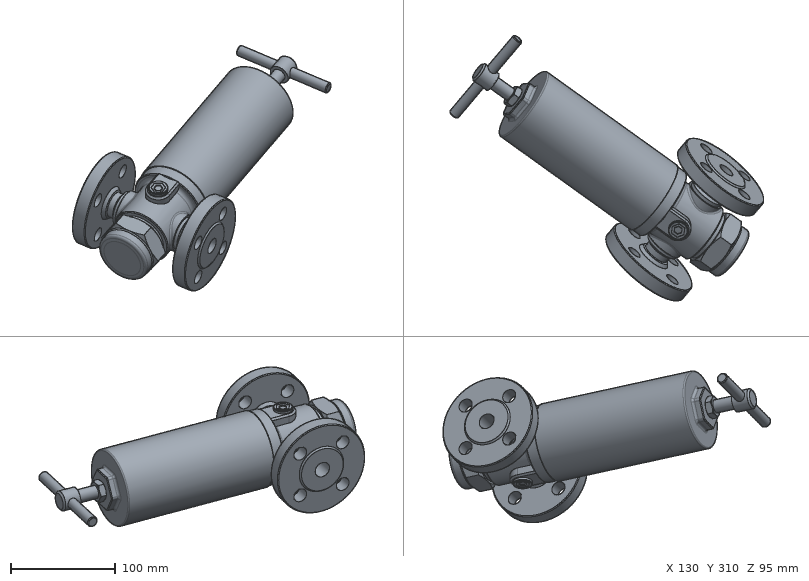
import cadquery as cq
import math


OVERALL_LENGTH = 310.0
SELECT_MARGIN = 0.3
HEX_HALF_ANGLE = math.pi / 6

BORE_RADIUS = 7.8
FLOW_JOINT_X = 32.2
NOZZLE_RADIUS = 19.0

BARREL_RADIUS = 29.8
BARREL_BOTTOM_Y = -24.2
BARREL_CHAMFER = 1.0
BODY_FLANGE_RADIUS = 37.2
BODY_FLANGE_BOTTOM_Y = 26.0
BODY_FLANGE_TOP_Y = 37.8
BODY_FLANGE_CHAMFER = 1.0
BODY_FILLET = 4.3
NOZZLE_FILLET = 2.0
PAD_RADIUS = 12.5
PAD_Y = 8.0
PAD_TOP_Z = 36.3
PAD_CHAMFER = 2.0

GAUGE_PLUG_RADIUS = 9.3
GAUGE_PLUG_HEIGHT = 2.8
GAUGE_PLUG_CHAMFER = 0.5
RECESS_FLATS = 12.0
RECESS_DEPTH = 0.5
SOCKET_FLATS = 7.0
SOCKET_DEPTH = 2.0

HUB_RADIUS = 17.0
HUB_END_X = 35.7
PIPE_RADIUS = 12.7
PIPE_START_X = 38.5
PIPE_END_X = 44.5
FLARE_START_X = 45.3
FLARE_START_RADIUS = 14.5
FLARE_END_RADIUS = 17.0
DISC_BACK_X = 48.7
DISC_FRONT_X = 63.3
DISC_RADIUS = 47.5
DISC_CHAMFER = 1.0
OVERALL_WIDTH = 130.0
FACE_X = OVERALL_WIDTH / 2
FACE_BASE_RADIUS = 24.2
FACE_RADIUS = 22.5
BOLT_CIRCLE_RADIUS = 32.5
BOLT_HOLE_RADIUS = 6.8
BOLT_COUNT = 4

PLUG_END_Y = -59.0
PLUG_NECK_RADIUS = 25.0
PLUG_HEX_TOP_Y = -28.8
PLUG_HEX_BOTTOM_Y = -46.8
PLUG_HEX_FLATS = 55.0
PLUG_CAP_RADIUS = 26.7
PLUG_CAP_ROUNDING = 2.8
PLUG_END_RADIUS = 20.5
PLUG_END_BEVEL = 0.3
PLUG_CAP_TAPER = 1.5
HEX_CONE_ANGLE = 30.0

BONNET_RADIUS = 38.0
BONNET_TOP_Y = 196.3
BONNET_EDGE = 1.2
BOSS_TOP_Y = 205.0
BOSS_FLATS = 36.3
BOSS_CORNER_RADIUS = 3.0
BOSS_EDGE = 1.0
BOSS_FILLET = 2.5

NUT_FLATS = 19.0
NUT_TOP_Y = 211.8

SPINDLE_RADIUS = 6.5
HEAD_RADIUS = 10.0
HEAD_BOTTOM_Y = 233.0
HEAD_TOP_Y = PLUG_END_Y + OVERALL_LENGTH
HEAD_CHAMFER = 2.0
HANDLE_Y = 241.5
HANDLE_RADIUS = 5.3
HANDLE_HALF_LENGTH = 50.2
HANDLE_CHAMFER = 1.0


def cylinder_y(radius, bottom, top):
    """Cylinder on the Y axis."""
    return cq.Workplane("XZ", origin=(0, bottom, 0)).circle(radius).extrude(bottom - top)


def cylinder_x(radius, half_length):
    """Cylinder on the X axis, centred on the origin."""
    return cq.Workplane("YZ").circle(radius).extrude(half_length, both=True)


def hexagon_y(flats, bottom, top):
    """Hexagonal prism on the Y axis with two corners on the X axis."""
    across_corners = flats / math.cos(HEX_HALF_ANGLE)
    return cq.Workplane("XZ", origin=(0, bottom, 0)).polygon(6, across_corners).extrude(bottom - top)


def nut_hexagon_y(flats, bottom, top):
    """Hexagonal prism whose corners are trimmed by a cone at each end."""
    inner = flats / 2
    corner = inner / math.cos(HEX_HALF_ANGLE)
    drop = (corner - inner) * math.tan(math.radians(HEX_CONE_ANGLE))
    envelope = (
        cq.Workplane("XY")
        .moveTo(0, bottom)
        .lineTo(inner, bottom)
        .lineTo(corner, bottom + drop)
        .lineTo(corner, top - drop)
        .lineTo(inner, top)
        .lineTo(0, top)
        .close()
        .revolve(360, (0, 0, 0), (0, 1, 0))
    )
    return hexagon_y(flats, bottom, top).intersect(envelope)


def hexagon_pocket(flats, top, depth):
    """Hexagonal prism below height top, on the plug axis, with two flats facing X."""
    across_corners = flats / math.cos(HEX_HALF_ANGLE)
    prism = cq.Workplane("XY").polygon(6, across_corners).extrude(depth)
    return prism.rotate((0, 0, 0), (0, 0, 1), 90).translate((0, PAD_Y, top - depth))


def make_pads():
    """Raised pads for the gauge plugs, above and below the barrel."""
    pad_end_y = BODY_FLANGE_BOTTOM_Y + BODY_FLANGE_CHAMFER
    outline = (
        cq.Workplane("XY")
        .moveTo(-PAD_RADIUS, pad_end_y)
        .lineTo(-PAD_RADIUS, PAD_Y)
        .threePointArc((0, PAD_Y - PAD_RADIUS), (PAD_RADIUS, PAD_Y))
        .lineTo(PAD_RADIUS, pad_end_y)
        .close()
    )
    block = outline.extrude(PAD_TOP_Z, both=True)
    rim = cq.selectors.BoxSelector(
        (-2 * PAD_RADIUS, -2 * PAD_RADIUS, -2 * PAD_TOP_Z),
        (2 * PAD_RADIUS, pad_end_y - PAD_CHAMFER, 2 * PAD_TOP_Z),
    )
    return block.faces("|Z").edges(rim).chamfer(PAD_CHAMFER)


def make_body():
    """Barrel with a top flange, two nozzles, two pads and the flow bore."""
    diagonal = BODY_FILLET * (1 - math.sqrt(0.5))
    body = (
        cq.Workplane("XY")
        .moveTo(0, BARREL_BOTTOM_Y)
        .lineTo(BARREL_RADIUS - BARREL_CHAMFER, BARREL_BOTTOM_Y)
        .lineTo(BARREL_RADIUS, BARREL_BOTTOM_Y + BARREL_CHAMFER)
        .lineTo(BARREL_RADIUS, BODY_FLANGE_BOTTOM_Y - BODY_FILLET)
        .threePointArc(
            (BARREL_RADIUS + diagonal, BODY_FLANGE_BOTTOM_Y - diagonal),
            (BARREL_RADIUS + BODY_FILLET, BODY_FLANGE_BOTTOM_Y),
        )
        .lineTo(BODY_FLANGE_RADIUS - BODY_FLANGE_CHAMFER, BODY_FLANGE_BOTTOM_Y)
        .lineTo(BODY_FLANGE_RADIUS, BODY_FLANGE_BOTTOM_Y + BODY_FLANGE_CHAMFER)
        .lineTo(BODY_FLANGE_RADIUS, BODY_FLANGE_TOP_Y)
        .lineTo(0, BODY_FLANGE_TOP_Y)
        .close()
        .revolve(360, (0, 0, 0), (0, 1, 0))
    )
    body = body.union(cylinder_x(NOZZLE_RADIUS, FLOW_JOINT_X))
    saddle_reach = NOZZLE_RADIUS + SELECT_MARGIN
    saddles = cq.selectors.BoxSelector(
        (-BARREL_RADIUS - SELECT_MARGIN, -saddle_reach, -saddle_reach),
        (BARREL_RADIUS + SELECT_MARGIN, saddle_reach, saddle_reach),
        boundingbox=True,
    )
    body = body.edges(saddles).fillet(NOZZLE_FILLET)
    body = body.union(make_pads())
    return body.cut(cylinder_x(BORE_RADIUS, FLOW_JOINT_X))


def make_gauge_plug(side):
    """Round plug with a hexagonal key socket, on the pad at the given Z side."""
    top = PAD_TOP_Z + GAUGE_PLUG_HEIGHT
    plug = (
        cq.Workplane("XY", origin=(0, PAD_Y, PAD_TOP_Z))
        .circle(GAUGE_PLUG_RADIUS)
        .extrude(GAUGE_PLUG_HEIGHT)
        .faces(">Z")
        .chamfer(GAUGE_PLUG_CHAMFER)
    )
    plug = plug.cut(hexagon_pocket(RECESS_FLATS, top, RECESS_DEPTH))
    plug = plug.cut(hexagon_pocket(SOCKET_FLATS, top, SOCKET_DEPTH))
    return plug if side > 0 else plug.mirror("XY")


def make_pipe_flange(side):
    """Weld-neck flange on the given X side of the body."""
    flange = (
        cq.Workplane("XY")
        .moveTo(FLOW_JOINT_X, BORE_RADIUS)
        .lineTo(FLOW_JOINT_X, HUB_RADIUS)
        .lineTo(HUB_END_X, HUB_RADIUS)
        .lineTo(PIPE_START_X, PIPE_RADIUS)
        .lineTo(PIPE_END_X, PIPE_RADIUS)
        .lineTo(FLARE_START_X, FLARE_START_RADIUS)
        .lineTo(DISC_BACK_X, FLARE_END_RADIUS)
        .lineTo(DISC_BACK_X, DISC_RADIUS - DISC_CHAMFER)
        .lineTo(DISC_BACK_X + DISC_CHAMFER, DISC_RADIUS)
        .lineTo(DISC_FRONT_X - DISC_CHAMFER, DISC_RADIUS)
        .lineTo(DISC_FRONT_X, DISC_RADIUS - DISC_CHAMFER)
        .lineTo(DISC_FRONT_X, FACE_BASE_RADIUS)
        .lineTo(FACE_X, FACE_RADIUS)
        .lineTo(FACE_X, BORE_RADIUS)
        .close()
        .revolve(360, (0, 0, 0), (1, 0, 0))
    )
    holes = (
        cq.Workplane("YZ", origin=(DISC_BACK_X, 0, 0))
        .polarArray(BOLT_CIRCLE_RADIUS, 180 / BOLT_COUNT, 360, BOLT_COUNT)
        .circle(BOLT_HOLE_RADIUS)
        .extrude(DISC_FRONT_X - DISC_BACK_X)
    )
    flange = flange.cut(holes)
    return flange if side > 0 else flange.mirror("YZ")


def make_bottom_plug():
    """Neck, hexagon and rounded cap closing the bottom of the barrel."""
    neck = cylinder_y(PLUG_NECK_RADIUS, PLUG_HEX_TOP_Y, BARREL_BOTTOM_Y)
    hexagon = nut_hexagon_y(PLUG_HEX_FLATS, PLUG_HEX_BOTTOM_Y, PLUG_HEX_TOP_Y)
    rounding_top = PLUG_END_Y + PLUG_END_BEVEL + PLUG_CAP_ROUNDING
    rounding_centre = PLUG_CAP_RADIUS - PLUG_CAP_ROUNDING
    diagonal = PLUG_CAP_ROUNDING * math.sqrt(0.5)
    cap = (
        cq.Workplane("XY")
        .moveTo(0, PLUG_HEX_BOTTOM_Y)
        .lineTo(PLUG_HEX_FLATS / 2, PLUG_HEX_BOTTOM_Y)
        .lineTo(PLUG_CAP_RADIUS, PLUG_HEX_BOTTOM_Y - PLUG_CAP_TAPER)
        .lineTo(PLUG_CAP_RADIUS, rounding_top)
        .threePointArc(
            (rounding_centre + diagonal, rounding_top - diagonal),
            (rounding_centre, rounding_top - PLUG_CAP_ROUNDING),
        )
        .lineTo(PLUG_END_RADIUS, PLUG_END_Y)
        .lineTo(0, PLUG_END_Y)
        .close()
        .revolve(360, (0, 0, 0), (0, 1, 0))
    )
    return neck.union(hexagon).union(cap)


def make_bonnet():
    """Spring bonnet with a filleted hexagonal boss, bored for the spindle."""
    barrel = cylinder_y(BONNET_RADIUS, BODY_FLANGE_TOP_Y, BONNET_TOP_Y)
    barrel = barrel.faces(">Y").fillet(BONNET_EDGE)
    boss = hexagon_y(BOSS_FLATS, BONNET_TOP_Y, BOSS_TOP_Y)
    boss = boss.edges("|Y").fillet(BOSS_CORNER_RADIUS).faces(">Y").chamfer(BOSS_EDGE)
    bonnet = barrel.union(boss)
    root = cq.selectors.BoxSelector(
        (-BOSS_FLATS, BONNET_TOP_Y - SELECT_MARGIN, -BOSS_FLATS),
        (BOSS_FLATS, BONNET_TOP_Y + SELECT_MARGIN, BOSS_FLATS),
        boundingbox=True,
    )
    bonnet = bonnet.edges(root).fillet(BOSS_FILLET)
    return bonnet.cut(cylinder_y(SPINDLE_RADIUS, BONNET_TOP_Y, BOSS_TOP_Y))


def make_lock_nut():
    """Hexagonal nut on the spindle, against the boss."""
    nut = nut_hexagon_y(NUT_FLATS, BOSS_TOP_Y, NUT_TOP_Y)
    return nut.cut(cylinder_y(SPINDLE_RADIUS, BOSS_TOP_Y, NUT_TOP_Y))


def make_spindle():
    """Spindle with a cross-drilled head."""
    head = cylinder_y(HEAD_RADIUS, HEAD_BOTTOM_Y, HEAD_TOP_Y)
    head = head.faces(">Y").chamfer(HEAD_CHAMFER)
    spindle = head.union(cylinder_y(SPINDLE_RADIUS, BONNET_TOP_Y, HEAD_BOTTOM_Y))
    cross_hole = cylinder_x(HANDLE_RADIUS, HEAD_RADIUS).translate((0, HANDLE_Y, 0))
    return spindle.cut(cross_hole)


def make_handle():
    """Straight bar through the spindle head."""
    bar = cylinder_x(HANDLE_RADIUS, HANDLE_HALF_LENGTH).faces("|X").chamfer(HANDLE_CHAMFER)
    return bar.translate((0, HANDLE_Y, 0))


SIDES = (-1, 1)
body = make_body()
gauge_plugs = [make_gauge_plug(side) for side in SIDES]
pipe_flanges = [make_pipe_flange(side) for side in SIDES]
bottom_plug = make_bottom_plug()
bonnet = make_bonnet()
lock_nut = make_lock_nut()
spindle = make_spindle()
handle = make_handle()

result = cq.Compound.makeCompound(
    [body.val(), bottom_plug.val(), bonnet.val(), lock_nut.val(), spindle.val(), handle.val()]
    + [plug.val() for plug in gauge_plugs]
    + [flange.val() for flange in pipe_flanges]
)